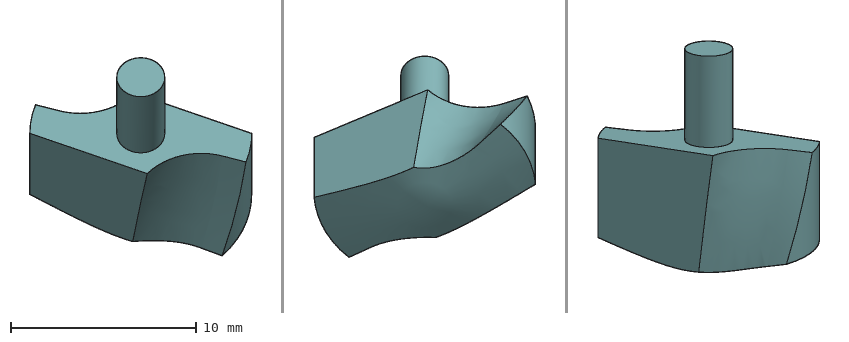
import cadquery as cq
import math

BIT_RADIUS = 6.0
BLADE_THICKNESS = 4.67
POINT_SLOPE = 17.0
BODY_TOP = 7.5
SHANK_DIAMETER = 2.6
OVERALL_HEIGHT = 12.7

LIP_INNER_X = 4.65
LIP_INNER_Y = 0.33
LIP_ANGLE = 5.5
ROOT_RADIUS = 3.82
TWIST_RATE = 4.3
FLUTE_COUNT = 2

CLEARANCE = 2.0
END_OVERRUN = 0.5

SHOULDER_Z = BIT_RADIUS * math.tan(math.radians(POINT_SLOPE))


def make_blade():
    """Pointed cylinder trimmed to a flat blade."""
    pointed = (
        cq.Workplane("XZ")
        .polyline([(0, 0), (BIT_RADIUS, SHOULDER_Z), (BIT_RADIUS, BODY_TOP), (0, BODY_TOP)])
        .close()
        .revolve(360, (0, 0, 0), (0, 1, 0))
    )
    slab = cq.Workplane("XY").box(
        2 * BIT_RADIUS, BLADE_THICKNESS, BODY_TOP, centered=(True, True, False)
    )
    return pointed.intersect(slab)


def make_flute_cutter():
    """Helical cutter whose section matches the flute at the top of the body."""
    lip = math.radians(LIP_ANGLE)
    root_x = LIP_INNER_X + ROOT_RADIUS * math.sin(lip)
    root_y = LIP_INNER_Y - ROOT_RADIUS * math.cos(lip)
    mid_angle = (math.pi / 2 + lip + math.pi) / 2
    arc_mid = (root_x + ROOT_RADIUS * math.cos(mid_angle), root_y + ROOT_RADIUS * math.sin(mid_angle))
    arc_end = (root_x - ROOT_RADIUS, root_y)

    outer_x = BIT_RADIUS + CLEARANCE
    outer_y = LIP_INNER_Y + (outer_x - LIP_INNER_X) * math.tan(lip)
    lower_y = -BIT_RADIUS - CLEARANCE

    length = BODY_TOP + 2 * END_OVERRUN
    start_angle = -TWIST_RATE * (BODY_TOP + END_OVERRUN)
    return (
        cq.Workplane("XY", origin=(0, 0, -END_OVERRUN))
        .transformed(rotate=(0, 0, start_angle))
        .moveTo(outer_x, outer_y)
        .lineTo(LIP_INNER_X, LIP_INNER_Y)
        .threePointArc(arc_mid, arc_end)
        .lineTo(arc_end[0], lower_y)
        .lineTo(outer_x, lower_y)
        .close()
        .twistExtrude(length, TWIST_RATE * length)
    )


def make_shank():
    """Plain round shank standing on the body."""
    return (
        cq.Workplane("XY", origin=(0, 0, BODY_TOP))
        .circle(SHANK_DIAMETER / 2)
        .extrude(OVERALL_HEIGHT - BODY_TOP)
    )


result = make_blade()
flute_cutter = make_flute_cutter()
for index in range(FLUTE_COUNT):
    flute_turn = index * 360 / FLUTE_COUNT
    result = result.cut(flute_cutter.rotate((0, 0, 0), (0, 0, 1), flute_turn))
result = result.union(make_shank())